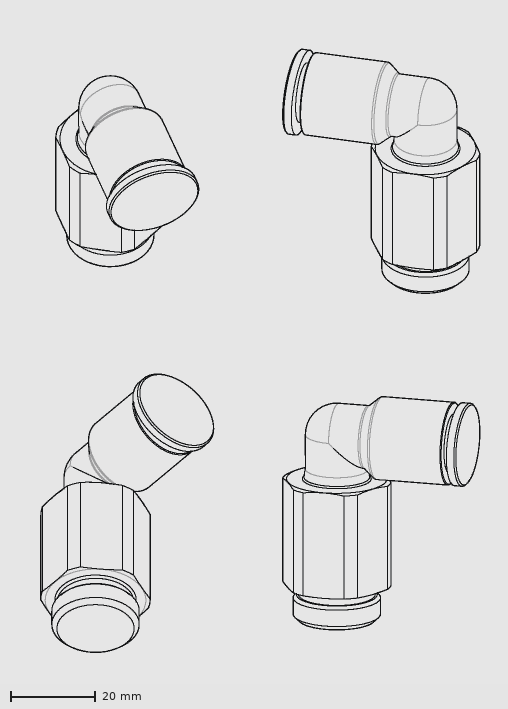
import cadquery as cq
import math


overall_height = 55.5

plug_radius = 10.4
plug_bottom_chamfer = 1.2
plug_top_chamfer = 0.8
plug_height = 6.05
neck_radius = 9.1
neck_flare = 0.55

hex_bottom = 8.55
hex_top = 34.7
hex_across_flats = 24.0
hex_corner_radius = 13.0
hex_face_radius = 11.95
hex_top_bevel = 0.4
hex_bottom_bevel = 0.2

elbow_radius = 7.5
skirt_top = 37.2
skirt_bottom = 35.15
skirt_bottom_radius = 7.8
skirt_foot_radius = 8.15

port_radius = 9.9
port_height = overall_height - port_radius
port_cone_start = 7.55
port_cone_end = 10.4
port_cone_blend = 0.8
port_end = 28.25
port_end_chamfer = 0.2
port_neck_radius = 7.1

collar_start = 29.95
collar_end = 32.2
collar_half_width = 11.25
collar_half_height = 9.75
collar_chamfer = 0.4


def revolve_about_z(profile):
    """Revolve a closed (radius, height) outline about the Z axis."""
    return cq.Workplane("XZ").polyline(profile).close().revolve(360, (0, 0), (0, 1))


def make_plug():
    """Chamfered plug with a narrower neck that flares into the hex body."""
    return revolve_about_z([
        (0, 0),
        (plug_radius - plug_bottom_chamfer, 0),
        (plug_radius, plug_bottom_chamfer),
        (plug_radius, plug_height - plug_top_chamfer),
        (plug_radius - plug_top_chamfer, plug_height),
        (neck_radius, plug_height),
        (neck_radius, hex_bottom - neck_flare),
        (neck_radius + neck_flare, hex_bottom),
        (0, hex_bottom),
    ])


def make_hex_body():
    """Hexagonal prism with turned corners and bevelled ends, two corners on the X axis."""
    across_corners = hex_across_flats / math.cos(math.radians(30))
    prism = (
        cq.Workplane("XY", origin=(0, 0, hex_bottom))
        .polygon(6, across_corners)
        .extrude(hex_top - hex_bottom)
    )
    turned_blank = revolve_about_z([
        (0, hex_bottom),
        (hex_face_radius, hex_bottom),
        (hex_corner_radius, hex_bottom + hex_bottom_bevel),
        (hex_corner_radius, hex_top - hex_top_bevel),
        (hex_face_radius, hex_top),
        (0, hex_top),
    ])
    return prism.intersect(turned_blank)


def make_elbow_stem():
    """Upright leg of the elbow with its widened skirt, and the ball at the corner."""
    stem = revolve_about_z([
        (0, hex_top),
        (skirt_foot_radius, hex_top),
        (skirt_bottom_radius, skirt_bottom),
        (elbow_radius, skirt_top),
        (elbow_radius, port_height),
        (0, port_height),
    ])
    ball = cq.Workplane("XY").sphere(elbow_radius).translate((0, 0, port_height))
    return stem.union(ball)


def make_port():
    """Horizontal leg of the elbow, widening through a blended cone to the tube port."""
    port = (
        cq.Workplane("XZ", origin=(0, 0, port_height))
        .polyline([
            (0, 0),
            (0, elbow_radius),
            (port_cone_start, elbow_radius),
            (port_cone_end, port_radius),
            (port_end, port_radius),
            (port_end, 0),
        ])
        .close()
        .revolve(360, (0, 0), (1, 0))
    )
    cone_edges = cq.selectors.BoxSelector(
        (port_cone_start - port_cone_blend, -port_radius, port_height - port_radius),
        (port_cone_end + port_cone_blend, port_radius, port_height + port_radius),
    )
    port = port.edges("%CIRCLE").edges(cone_edges).fillet(port_cone_blend)
    return port.faces(">X").edges().chamfer(port_end_chamfer)


def make_collar():
    """Oval release collar on a round neck."""
    neck = (
        cq.Workplane("YZ", origin=(port_end, 0, port_height))
        .circle(port_neck_radius)
        .extrude(collar_start - port_end)
    )
    collar = (
        cq.Workplane("YZ", origin=(collar_start, 0, port_height))
        .ellipse(collar_half_width, collar_half_height)
        .extrude(collar_end - collar_start)
        .faces(">X")
        .edges()
        .chamfer(collar_chamfer)
    )
    return neck.union(collar)


result = (
    make_plug()
    .union(make_hex_body())
    .union(make_elbow_stem())
    .union(make_port())
    .union(make_collar())
)